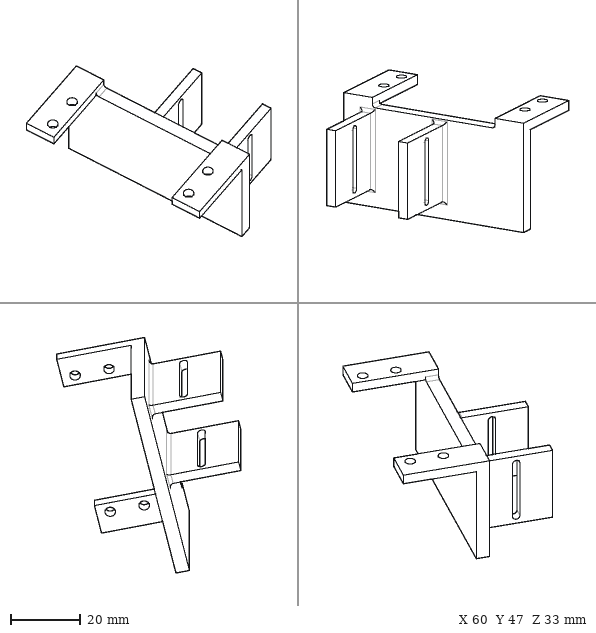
import cadquery as cq

width = 60.0
height = 33.0
plate_thickness = 4.0
tab_thickness = 3.0
plate_height = height - tab_thickness

tab_width = 9.55
tab_reach = 21.95
tab_hole_diameter = 3.0
tab_hole_inset = 6.5
tab_hole_front_offset = 4.0
tab_hole_spacing = 10.0

lug_thickness = 3.0
lug_reach = 21.0
lug_height = 23.05
lug_bottom = 5.45
lug_spacing = 24.0
right_lug_x = width / 2 - tab_width + lug_thickness / 2
lug_centers_x = (right_lug_x - lug_spacing, right_lug_x)
slot_width = 2.2
slot_length = 20.2
slot_back_offset = 11.0
root_fillet = 1.0


def make_plate():
    """Upright plate with a raised strip at each end for the tabs."""
    plate = cq.Workplane("XY").box(width, plate_thickness, height, centered=(True, False, False))
    notch_width = width - 2 * tab_width
    notch = (
        cq.Workplane("XY")
        .box(notch_width, plate_thickness, tab_thickness, centered=(True, False, False))
        .edges("|Y and <Z")
        .fillet(root_fillet)
        .translate((0, 0, plate_height))
    )
    return plate.cut(notch)


def make_tab(side):
    """Drilled tab; side is -1 for the left end and 1 for the right end."""
    center_x = side * (width - tab_width) / 2
    hole_x = side * (width / 2 - tab_hole_inset)
    first_hole_y = -tab_reach + tab_hole_front_offset
    hole_points = [(hole_x, first_hole_y), (hole_x, first_hole_y + tab_hole_spacing)]
    tab = (
        cq.Workplane("XY")
        .box(tab_width, tab_reach, tab_thickness, centered=(True, False, False))
        .translate((center_x, -tab_reach, plate_height))
    )
    holes = (
        cq.Workplane("XY", origin=(0, 0, plate_height))
        .pushPoints(hole_points)
        .circle(tab_hole_diameter / 2)
        .extrude(tab_thickness)
    )
    return tab.cut(holes)


def make_lug(center_x):
    """Lug standing behind the plate."""
    return (
        cq.Workplane("XY")
        .box(lug_thickness, lug_reach, lug_height, centered=(True, False, False))
        .translate((center_x, plate_thickness, lug_bottom))
    )


def make_lug_slot(center_x):
    """Vertical round-ended slot through one lug."""
    slot_y = plate_thickness + lug_reach - slot_back_offset
    slot_z = lug_bottom + lug_height / 2
    return (
        cq.Workplane("YZ", origin=(center_x, slot_y, slot_z))
        .slot2D(slot_length, slot_width, 90)
        .extrude(lug_thickness / 2, both=True)
    )


def root_edges(body, center_x):
    """Edges where a lug meets the back of the plate."""
    margin = 0.05
    half_thickness = lug_thickness / 2 + margin
    selector = cq.selectors.BoxSelector(
        (center_x - half_thickness, plate_thickness - margin, lug_bottom - margin),
        (center_x + half_thickness, plate_thickness + margin, lug_bottom + lug_height + margin),
    )
    return body.edges(selector)


result = make_plate()
for side in (-1, 1):
    result = result.union(make_tab(side))

for lug_x in lug_centers_x:
    result = result.union(make_lug(lug_x))
    result = root_edges(result, lug_x).fillet(root_fillet)
    result = result.cut(make_lug_slot(lug_x))